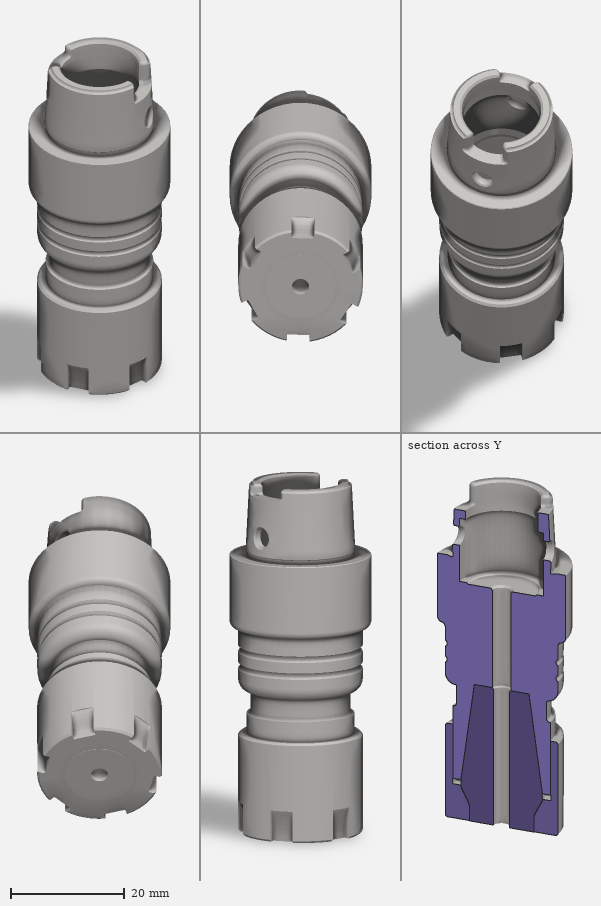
import cadquery as cq
import math

TOTAL_HEIGHT = 63.0

SHANK_LENGTH = 13.0
SHANK_BASE_DIAMETER = 19.35
SHANK_TIP_DIAMETER = 18.1
SHANK_RELIEF_DIAMETER = 19.1
SHANK_RELIEF_HEIGHT = 0.55
SHANK_RIM_ROUND = 0.55
SHANK_BORE_DIAMETER = 14.0
SHANK_BORE_DEPTH = 5.75
UNDERCUT_DIAMETER = 16.2
CAVITY_DEPTH = 17.65
FLOOR_RECESS_DIAMETER = 13.6
FLOOR_RECESS_DEPTH = 0.25
BORE_RIM_CHAMFER = 0.4
CROSS_HOLE_DIAMETER = 3.5
CROSS_HOLE_ABOVE_FLANGE = 4.0
CROSS_HOLE_CHAMFER = 0.25

DRIVE_SLOT_WIDTH = 5.75
SHALLOW_SLOT_DEPTH = 1.95
DEEP_SLOT_DEPTH = 4.05
SLOT_FLOOR_ROUND = 0.55
SLOT_FLARE_START = 6.55
SLOT_SIDE_ROUND = 1.45
SLOT_TOP_ROUND = 0.6

FLANGE_DIAMETER = 25.0
FLANGE_EDGE_CHAMFER = 0.1
FLANGE_BOTTOM = 38.05
FLANGE_LOWER_ROUND = 1.15
FACE_RELIEF_DIAMETER = 21.2
FACE_RELIEF_DEPTH = 0.25

BARREL_DIAMETER = 22.0
BARREL_TOP = 36.15
BARREL_BOTTOM = 25.45
BARREL_BOTTOM_ROUND = 2.15
GROOVE_WIDTH = 1.15
GROOVE_DEPTH = 0.4
GROOVE_HEIGHTS = (33.1, 30.05)

NECK_DIAMETER = 17.6
NECK_TOP_ROUND = 0.3
NECK_BOTTOM_ROUND = 0.55
COLLAR_DIAMETER = 19.0
COLLAR_TOP = 21.5
COLLAR_BOTTOM = 7.55

PASSAGE_DIAMETER = 3.5
PASSAGE_CHAMFER = 0.4

NUT_DIAMETER = 22.0
NUT_TOP = 17.95
NUT_BOTTOM = 0.05
NUT_CHAMFER = 0.4
NUT_SLOT_COUNT = 6
NUT_SLOT_WIDTH = 4.05
NUT_SLOT_TOP = 5.75
NUT_SLOT_START_ANGLE = 90.0
NUT_SLOT_CORNER_ROUND = 0.2
NUT_SLOT_TOP_REACH = 10.8
NUT_SLOT_FLOOR_REACH = 9.4
NUT_SLOT_STRAIGHT_TOP = 1.25

COLLET_BORE_DIAMETER = 3.0
COLLET_NOSE_DIAMETER = 12.4
COLLET_NOSE_LENGTH = 3.15
COLLET_SHOULDER_DIAMETER = 16.0
COLLET_SHOULDER_HEIGHT = 6.6
COLLET_TOP_DIAMETER = 10.5
COLLET_TAPER_ANGLE = 8.0

AXIS_BOTTOM = (0, 0, 0)
AXIS_TOP = (0, 1, 0)
CUT_MARGIN = 0.6

flange_top = TOTAL_HEIGHT - SHANK_LENGTH
cross_hole_height = flange_top + CROSS_HOLE_ABOVE_FLANGE
cavity_floor = TOTAL_HEIGHT - CAVITY_DEPTH
recess_floor = cavity_floor - FLOOR_RECESS_DEPTH
shank_relief_top = flange_top + SHANK_RELIEF_HEIGHT
flange_radius = FLANGE_DIAMETER / 2
barrel_radius = BARREL_DIAMETER / 2
neck_radius = NECK_DIAMETER / 2
collar_radius = COLLAR_DIAMETER / 2
shank_relief_radius = SHANK_RELIEF_DIAMETER / 2
shank_base_radius = SHANK_BASE_DIAMETER / 2
shank_tip_radius = SHANK_TIP_DIAMETER / 2
shank_taper_bottom = shank_relief_top + shank_base_radius - shank_relief_radius
bore_radius = SHANK_BORE_DIAMETER / 2
undercut_radius = UNDERCUT_DIAMETER / 2
passage_radius = PASSAGE_DIAMETER / 2
slot_half_width = DRIVE_SLOT_WIDTH / 2
slot_mouth_half_width = slot_half_width + SLOT_SIDE_ROUND
slot_flare_end = SLOT_FLARE_START + SLOT_SIDE_ROUND
nut_radius = NUT_DIAMETER / 2
collet_bore_radius = COLLET_BORE_DIAMETER / 2
collet_nose_radius = COLLET_NOSE_DIAMETER / 2
collet_shoulder_radius = COLLET_SHOULDER_DIAMETER / 2
collet_top_radius = COLLET_TOP_DIAMETER / 2
taper_slope = math.tan(math.radians(COLLET_TAPER_ANGLE))
collet_top = COLLET_SHOULDER_HEIGHT + (collet_shoulder_radius - collet_top_radius) / taper_slope
collet_bore_chamfer = passage_radius - collet_bore_radius


def revolved(outline):
    """Turn a closed (radius, height) outline about the Z axis."""
    return outline.close().revolve(360, AXIS_BOTTOM, AXIS_TOP)


def holder_blank():
    """Solid outer form of the holder, from the collar up to the shank rim."""
    barrel_foot_radius = barrel_radius - BARREL_BOTTOM_ROUND
    collar_fillet_top = COLLAR_TOP + NECK_BOTTOM_ROUND
    flange_foot_radius = flange_radius - FLANGE_LOWER_ROUND
    flange_foot = FLANGE_BOTTOM - FLANGE_LOWER_ROUND
    flare_rise = flange_foot - BARREL_TOP
    flare_run = flange_foot_radius - barrel_radius
    barrel_flare_radius = (flare_rise**2 + flare_run**2) / (2 * flare_run)
    relief_radius = FACE_RELIEF_DIAMETER / 2
    relief_floor = flange_top - FACE_RELIEF_DEPTH
    outline = (
        cq.Workplane("XZ")
        .moveTo(0, COLLAR_BOTTOM)
        .lineTo(collar_radius, COLLAR_BOTTOM)
        .lineTo(collar_radius, COLLAR_TOP)
        .lineTo(neck_radius + NECK_BOTTOM_ROUND, COLLAR_TOP)
        .radiusArc((neck_radius, collar_fillet_top), NECK_BOTTOM_ROUND)
        .lineTo(neck_radius, BARREL_BOTTOM - NECK_TOP_ROUND)
        .lineTo(barrel_foot_radius, BARREL_BOTTOM)
        .radiusArc((barrel_radius, BARREL_BOTTOM + BARREL_BOTTOM_ROUND), -BARREL_BOTTOM_ROUND)
        .lineTo(barrel_radius, BARREL_TOP)
        .radiusArc((flange_foot_radius, flange_foot), barrel_flare_radius)
        .radiusArc((flange_radius, FLANGE_BOTTOM), -FLANGE_LOWER_ROUND)
        .lineTo(flange_radius, flange_top - FLANGE_EDGE_CHAMFER)
        .lineTo(flange_radius - FLANGE_EDGE_CHAMFER, flange_top)
        .lineTo(relief_radius, flange_top)
        .lineTo(shank_relief_radius, relief_floor)
        .lineTo(shank_relief_radius, shank_relief_top)
        .lineTo(shank_base_radius, shank_taper_bottom)
        .lineTo(shank_tip_radius, TOTAL_HEIGHT)
        .lineTo(0, TOTAL_HEIGHT)
    )
    return revolved(outline)


def barrel_groove(height):
    """Shallow round-bottomed ring groove around the barrel."""
    half_width = GROOVE_WIDTH / 2
    outline = (
        cq.Workplane("XZ")
        .moveTo(barrel_radius, height - half_width)
        .threePointArc((barrel_radius - GROOVE_DEPTH, height), (barrel_radius, height + half_width))
        .lineTo(barrel_radius + CUT_MARGIN, height + half_width)
        .lineTo(barrel_radius + CUT_MARGIN, height - half_width)
    )
    return revolved(outline)


def shank_cavity():
    """Hollow of the shank: entry bore, wider undercut below it and a shallow tapered floor recess."""
    undercut_top = TOTAL_HEIGHT - SHANK_BORE_DEPTH
    recess_radius = FLOOR_RECESS_DIAMETER / 2
    outline = (
        cq.Workplane("XZ")
        .moveTo(0, recess_floor)
        .lineTo(recess_radius - FLOOR_RECESS_DEPTH, recess_floor)
        .lineTo(recess_radius, cavity_floor)
        .lineTo(undercut_radius, cavity_floor)
        .lineTo(undercut_radius, undercut_top)
        .lineTo(bore_radius, undercut_top)
        .lineTo(bore_radius, TOTAL_HEIGHT)
        .lineTo(0, TOTAL_HEIGHT)
    )
    return revolved(outline)


def drive_slot(side, depth):
    """Slot through the shank wall on the given X side, flared at its mouth and rounded at its floor."""
    reach = shank_base_radius + CUT_MARGIN
    slot = (
        cq.Workplane("XY", origin=(0, 0, TOTAL_HEIGHT - depth))
        .moveTo(0, -slot_half_width)
        .lineTo(side * SLOT_FLARE_START, -slot_half_width)
        .radiusArc((side * slot_flare_end, -slot_mouth_half_width), side * SLOT_SIDE_ROUND)
        .lineTo(side * reach, -slot_mouth_half_width)
        .lineTo(side * reach, slot_mouth_half_width)
        .lineTo(side * slot_flare_end, slot_mouth_half_width)
        .radiusArc((side * SLOT_FLARE_START, slot_half_width), side * SLOT_SIDE_ROUND)
        .lineTo(0, slot_half_width)
        .close()
        .extrude(depth + CUT_MARGIN)
    )
    inner_edge = "<X" if side > 0 else ">X"
    outer_edge = ">X" if side > 0 else "<X"
    floor_walls = slot.faces("<Z").edges(f"not({inner_edge} or {outer_edge})")
    return floor_walls.fillet(SLOT_FLOOR_ROUND)


def slot_top_rounding():
    """Cutter that rounds the upper edges of the slot walls: a slab less two round-edged lobes."""
    reach = shank_base_radius + CUT_MARGIN
    rounding_base = TOTAL_HEIGHT - SLOT_TOP_ROUND
    slab = (
        cq.Workplane("XY", origin=(0, 0, rounding_base))
        .rect(2 * reach, 2 * slot_mouth_half_width)
        .extrude(SLOT_TOP_ROUND)
    )
    lobe = (
        cq.Workplane("XY", origin=(0, 0, rounding_base - SLOT_TOP_ROUND))
        .moveTo(-reach, slot_mouth_half_width)
        .lineTo(-slot_flare_end, slot_mouth_half_width)
        .radiusArc((-SLOT_FLARE_START, slot_half_width), -SLOT_SIDE_ROUND)
        .lineTo(SLOT_FLARE_START, slot_half_width)
        .radiusArc((slot_flare_end, slot_mouth_half_width), -SLOT_SIDE_ROUND)
        .lineTo(reach, slot_mouth_half_width)
        .lineTo(reach, reach)
        .lineTo(-reach, reach)
        .close()
        .extrude(2 * SLOT_TOP_ROUND)
    )
    lobe = lobe.faces(">Z").edges("not(<X or >X or >Y)").fillet(SLOT_TOP_ROUND)
    return slab.cut(lobe).cut(lobe.mirror("XZ"))


def outer_rim_rounding():
    """Ring that rounds the outer edge of the shank tip."""
    outer_radius = shank_tip_radius + CUT_MARGIN
    rounding_base = TOTAL_HEIGHT - SHANK_RIM_ROUND
    outline = (
        cq.Workplane("XZ")
        .moveTo(shank_tip_radius, rounding_base)
        .radiusArc((shank_tip_radius - SHANK_RIM_ROUND, TOTAL_HEIGHT), SHANK_RIM_ROUND)
        .lineTo(outer_radius, TOTAL_HEIGHT)
        .lineTo(outer_radius, rounding_base)
    )
    return revolved(outline)


def bore_rim_chamfer():
    """Cone that breaks the inner edge of the shank tip."""
    chamfer_base = TOTAL_HEIGHT - BORE_RIM_CHAMFER
    outline = (
        cq.Workplane("XZ")
        .moveTo(0, chamfer_base)
        .lineTo(bore_radius, chamfer_base)
        .lineTo(bore_radius + BORE_RIM_CHAMFER, TOTAL_HEIGHT)
        .lineTo(0, TOTAL_HEIGHT)
    )
    return revolved(outline)


def drill_cross_hole(holder):
    """Drill a hole along X through both shank walls and chamfer its outer mouths."""
    radius = CROSS_HOLE_DIAMETER / 2
    reach = shank_base_radius + CUT_MARGIN
    drill = (
        cq.Workplane("YZ", origin=(-reach, 0, cross_hole_height))
        .circle(radius)
        .extrude(2 * reach)
    )
    holder = holder.cut(drill)
    for side in (-1, 1):
        mouth = cq.selectors.NearestToPointSelector((side * reach, 0, cross_hole_height))
        holder = holder.edges(mouth).chamfer(CROSS_HOLE_CHAMFER)
    return holder


def axial_passage():
    """Hole from the floor recess of the shank down to the collet seat, countersunk at the top."""
    outline = (
        cq.Workplane("XZ")
        .moveTo(0, COLLAR_BOTTOM)
        .lineTo(passage_radius, COLLAR_BOTTOM)
        .lineTo(passage_radius, recess_floor - PASSAGE_CHAMFER)
        .lineTo(passage_radius + PASSAGE_CHAMFER, recess_floor)
        .lineTo(0, recess_floor)
    )
    return revolved(outline)


def collet_envelope():
    """Outer form of the collet, which also shapes the seats in the holder and the nut."""
    outline = (
        cq.Workplane("XZ")
        .lineTo(collet_nose_radius, 0)
        .lineTo(collet_nose_radius, COLLET_NOSE_LENGTH)
        .lineTo(collet_shoulder_radius, COLLET_SHOULDER_HEIGHT)
        .lineTo(collet_top_radius, collet_top)
        .lineTo(0, collet_top)
    )
    return revolved(outline)


def make_holder():
    """Tool holder: hollow taper shank, flange, grooved barrel and collar with the collet seat."""
    holder = holder_blank().cut(shank_cavity())
    for side, depth in ((-1, SHALLOW_SLOT_DEPTH), (1, DEEP_SLOT_DEPTH)):
        holder = holder.cut(drive_slot(side, depth))
    holder = holder.cut(slot_top_rounding())
    holder = holder.cut(outer_rim_rounding()).cut(bore_rim_chamfer())
    holder = drill_cross_hole(holder)
    for height in GROOVE_HEIGHTS:
        holder = holder.cut(barrel_groove(height))
    return holder.cut(axial_passage()).cut(collet_envelope())


def nut_blank():
    """Plain nut cylinder with chamfered ends, before its bore is cut."""
    sleeve = cq.Workplane("XY", origin=(0, 0, NUT_BOTTOM)).circle(nut_radius).extrude(NUT_TOP - NUT_BOTTOM)
    return sleeve.edges().chamfer(NUT_CHAMFER)


def nut_thread_bore():
    """Bore that receives the collar of the holder, kept as a plain cylinder."""
    return (
        cq.Workplane("XY", origin=(0, 0, COLLET_SHOULDER_HEIGHT))
        .circle(collar_radius)
        .extrude(NUT_TOP - COLLET_SHOULDER_HEIGHT)
    )


def wrench_slot():
    """Slot open at the nut's lower end; its flat floor curves outwards and has rounded sides."""
    outer_reach = nut_radius + CUT_MARGIN
    rise = NUT_SLOT_TOP - NUT_SLOT_STRAIGHT_TOP
    run = NUT_SLOT_TOP_REACH - NUT_SLOT_FLOOR_REACH
    floor_curve_radius = (rise**2 + run**2) / (2 * run)
    slot = (
        cq.Workplane("XZ", origin=(0, NUT_SLOT_WIDTH / 2, 0))
        .moveTo(NUT_SLOT_FLOOR_REACH, -CUT_MARGIN)
        .lineTo(NUT_SLOT_FLOOR_REACH, NUT_SLOT_STRAIGHT_TOP)
        .radiusArc((NUT_SLOT_TOP_REACH, NUT_SLOT_TOP), floor_curve_radius)
        .lineTo(outer_reach, NUT_SLOT_TOP)
        .lineTo(outer_reach, -CUT_MARGIN)
        .close()
        .extrude(NUT_SLOT_WIDTH)
    )
    floor_sides = slot.faces("<X").edges("|Z")
    return floor_sides.fillet(NUT_SLOT_CORNER_ROUND)


def make_nut():
    """Clamping nut with its thread bore, collet seat and wrench slots."""
    nut = nut_blank().cut(nut_thread_bore()).cut(collet_envelope())
    slot = wrench_slot()
    for index in range(NUT_SLOT_COUNT):
        angle = NUT_SLOT_START_ANGLE + index * 360 / NUT_SLOT_COUNT
        nut = nut.cut(slot.rotate((0, 0, 0), (0, 0, 1), angle))
    return nut


def make_collet():
    """Tapered collet with a through bore that is countersunk at its top."""
    outline = (
        cq.Workplane("XZ")
        .lineTo(collet_bore_radius, 0)
        .lineTo(collet_bore_radius, collet_top - collet_bore_chamfer)
        .lineTo(passage_radius, collet_top)
        .lineTo(0, collet_top)
    )
    return collet_envelope().cut(revolved(outline))


holder = make_holder()
nut = make_nut()
collet = make_collet()

result = cq.Compound.makeCompound([holder.val(), nut.val(), collet.val()])